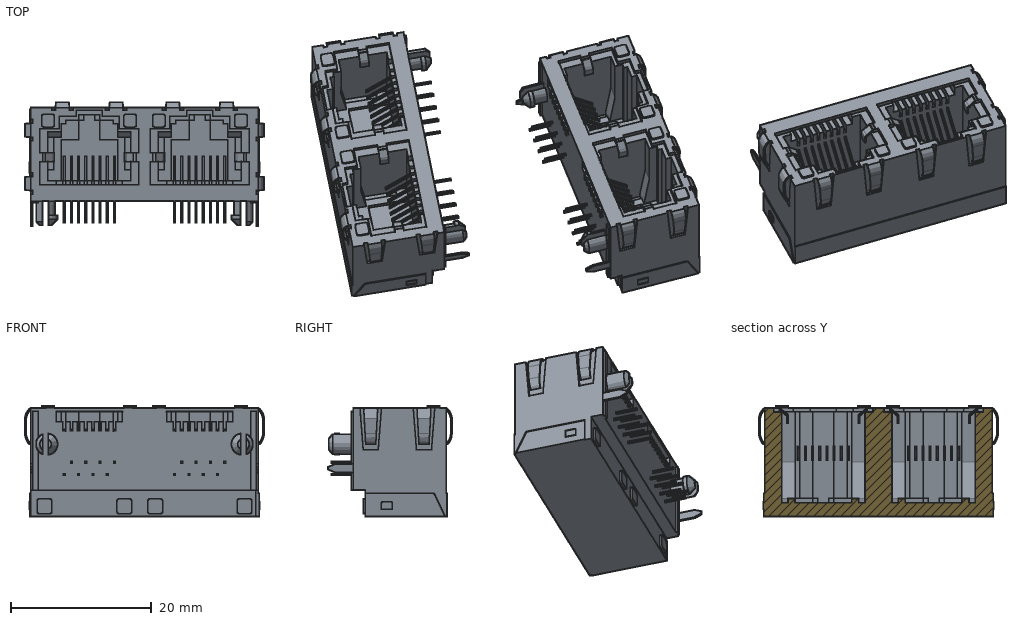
import cadquery as cq
import math


EMBED = 0.3

BODY_HALF_WIDTH = 16.2
BODY_TOP = 15.45
FRONT_Y = -13.25
FOOT_FRONT_Y = -11.5
FOOT_HEIGHT = 3.75
RIB_INNER_X = 15.1
RIB_OUTER_X = 15.88
RIB_PROJECTION = 0.27
RIB_TOP = 14.97

FLAP_THICKNESS = 0.13
FLAP_HEIGHT = 3.35
FLAP_FRONT_Y = -10.55
FLAP_REAR_BOTTOM_Y = -0.15
FLAP_REAR_TOP_Y = -1.75
FLAP_CORNER_RADIUS = 0.4
LATCH_Y = (-9.23, -7.69)
LATCH_Z = (1.02, 2.08)
LATCH_HEIGHT = 0.1
CORNER_PLATE_INNER_X = 15.86
CORNER_PLATE_STEP = 0.03

PORT_CENTERS = (-7.85, 7.85)
RIM_DEPTH = 0.57
CAVITY_FLOOR = 2.0
SIDE_FLOOR = 2.6
RIM_HALF = 7.04
RIM_FRONT_Y = -10.9
RIM_REAR_STEPS = ((7.04, -2.93), (4.27, -1.15), (1.87, -0.3))
CAVITY_HALF = 5.91
CAVITY_FRONT_Y = -10.37
CAVITY_REAR_STEPS = ((5.91, -3.42), (4.03, -2.28), (3.39, -1.76), (1.5, -0.95))
THROAT_HALF = 4.03
CHANNEL_HALF = 1.5
CHANNEL_FRONT_Y = -4.5
CHANNEL_LIP_HALF = 0.78
CHANNEL_LIP_Y = -1.76
SLOPE_FRONT_Y = -4.2
SLOPE_TOP = 7.8
WELL_INNER = 5.05
WELL_FRONT_Y = -8.8

CONTACT_COUNT = 8
CONTACT_PITCH = 1.02
WIRE = 0.25
WINDOW_HALF = 4.7
WINDOW_Z = (13.5, 14.97)
SLOT_WIDTH = 0.37
SLOT_BOTTOM = 12.2
CONTACT_ROOT = (-11.6, 12.1)
CONTACT_TIP = (-6.9, 8.0)
PIN_TIP_Y = -16.35
PIN_ROW_Z = (5.97, 7.74)

SPRING_Y = (-7.64, -6.36)
SPRING_ROOT_X = 6.65
SPRING_ROOT_DROP = 0.06
SPRING_CREST_X = 6.25
SPRING_BEND_START = (5.25, 14.65)
SPRING_BEND_MIDDLE = (5.04, 14.49)
SPRING_LEG_X = 4.97
SPRING_BEND_Z = 14.3
SPRING_END_Z = 13.3
SPRING_THICKNESS = 0.2

CLIP_REACH = 0.825
CLIP_THICKNESS = 0.2
CLIP_END_Z = 10.3
CLIP_STRAIGHT_Z = (11.9, 13.6)
CLIP_UPPER_ARC_OUTER = (0.6, 14.75)
CLIP_UPPER_ARC_INNER = (0.42, 14.65)
CLIP_LOWER_ARC_OUTER = (0.65, 11.0)
CLIP_LOWER_ARC_INNER = (0.47, 11.06)
CLIP_END_REACH = (0.04, 0.2)
CLIP_ROOT_REACH = -0.05
CLIP_HALF_TOP = 1.0
CLIP_HALF_END = 0.72
RELIEF_DEPTH = 0.33
RELIEF_HALF_TOP = 1.53
RELIEF_HALF_END = 1.07
RELIEF_END_Z = 9.5
SIDE_CLIP_Y = (-3.17, -10.75)
REAR_CLIP_X = (-11.68, -4.03, 4.03, 11.68)

LIGHT_CORNER_RADIUS = 0.3
TOP_LIGHT_SIZE = 1.8
TOP_LIGHT_X = (-13.72, -2.04, 2.04, 13.72)
TOP_LIGHT_Y = -1.81
TOP_LIGHT_HEIGHT = 0.3
FRONT_LIGHT_SIZE = 2.1
FRONT_LIGHT_X = (-14.24, -2.87, 1.52, 14.24)
FRONT_LIGHT_Z = 1.46
FRONT_LIGHT_HEIGHT = 0.33

OVERALL_DEPTH = 17.66
TIP_Y = CLIP_REACH - OVERALL_DEPTH
LOCK_X = 13.9
LOCK_Z = 10.3
LOCK_RADIUS = 1.54
LOCK_STEM_SHIFT = 0.34
LOCK_END_Y = -16.72
LOCK_SPLIT_X = 14.08
LOCK_SPLIT = 0.8
LOCK_OUTER_CHAMFER = 0.55
BARB_BACK_Y = -15.25
BARB_EDGE_Y = -15.85
BARB_TIP_RADIUS = 0.65
GROUND_PIN_X = (15.87, 16.15)
GROUND_PIN_Z = 6.88
GROUND_PIN_HALF = 0.63
GROUND_PIN_SHOULDER_Y = -15.8
GROUND_PIN_TIP_HALF = 0.18


def box(x, y, z):
    """Box between two limits along each axis."""
    size = [abs(b - a) for a, b in (x, y, z)]
    middle = [(a + b) / 2 for a, b in (x, y, z)]
    return cq.Workplane("XY").box(*size).translate(tuple(middle))


def mirrored(shape):
    """The shape together with its mirror image across X = 0."""
    return shape.add(shape.mirror("YZ")).combine()


def stepped_prism(front_y, rear_steps, bottom, top):
    """Prism symmetric in X whose rear edge climbs in steps toward the middle."""
    right = [(rear_steps[0][0], front_y)]
    for index, (half, y) in enumerate(rear_steps):
        right.append((half, y))
        if index + 1 < len(rear_steps):
            right.append((rear_steps[index + 1][0], y))
    left = [(-x, y) for x, y in reversed(right)]
    return cq.Workplane("XY", origin=(0, 0, bottom)).polyline(right + left).close().extrude(top - bottom)


def body():
    """Upper block, set-back foot and the two vertical ribs on the front."""
    width = (-BODY_HALF_WIDTH, BODY_HALF_WIDTH)
    block = box(width, (FRONT_Y, 0), (FOOT_HEIGHT, BODY_TOP))
    foot = box(width, (FOOT_FRONT_Y, 0), (0, FOOT_HEIGHT))
    rib = box((RIB_INNER_X, RIB_OUTER_X), (FRONT_Y - RIB_PROJECTION, FRONT_Y), (FOOT_HEIGHT, RIB_TOP))
    return block.union(foot).union(mirrored(rib))


def flaps():
    """Side flaps with their latch pads, the rear flap and the +X front corner plate."""
    inner_x = BODY_HALF_WIDTH - EMBED
    side = (
        cq.Workplane("YZ", origin=(inner_x, 0, 0))
        .polyline([
            (FLAP_REAR_BOTTOM_Y, 0),
            (FLAP_REAR_TOP_Y, FLAP_HEIGHT),
            (FLAP_FRONT_Y, FLAP_HEIGHT),
            (FLAP_FRONT_Y, 0),
        ])
        .close()
        .extrude(EMBED + FLAP_THICKNESS)
    )
    side = side.edges("|X").edges(">Z").edges(">Y").fillet(FLAP_CORNER_RADIUS)
    latch = box((inner_x, BODY_HALF_WIDTH + FLAP_THICKNESS + LATCH_HEIGHT), LATCH_Y, LATCH_Z)
    latch = latch.edges("|X and >Z").fillet(LIGHT_CORNER_RADIUS / 2)
    rear = box((-BODY_HALF_WIDTH, BODY_HALF_WIDTH), (-EMBED, FLAP_THICKNESS), (0, FLAP_HEIGHT))
    plate_y = (FOOT_FRONT_Y - CORNER_PLATE_STEP, FLAP_FRONT_Y)
    corner = box((CORNER_PLATE_INNER_X, BODY_HALF_WIDTH), plate_y, (0, FOOT_HEIGHT))
    corner_flap = box((inner_x, BODY_HALF_WIDTH + FLAP_THICKNESS), plate_y, (0, FLAP_HEIGHT))
    return mirrored(side.union(latch)).union(rear).union(corner).union(corner_flap)


def port_cavity():
    """Everything removed for one port, centred on X = 0."""
    rim_floor = BODY_TOP - RIM_DEPTH
    rim = stepped_prism(RIM_FRONT_Y, RIM_REAR_STEPS, rim_floor, BODY_TOP)
    tab = box((SPRING_ROOT_X, RIM_HALF), SPRING_Y, (rim_floor, BODY_TOP))
    rim = rim.cut(mirrored(tab))

    cavity = stepped_prism(CAVITY_FRONT_Y, CAVITY_REAR_STEPS, CAVITY_FLOOR, BODY_TOP)
    rear_y = CAVITY_REAR_STEPS[-1][1]
    shelf_z = (CAVITY_FLOOR, SIDE_FLOOR)
    shelf = box((CHANNEL_HALF, THROAT_HALF), (CHANNEL_FRONT_Y, rear_y), shelf_z)
    lip = box((CHANNEL_LIP_HALF, CHANNEL_HALF), (CHANNEL_LIP_Y, rear_y), shelf_z)
    side_step = box((THROAT_HALF, CAVITY_HALF), (CAVITY_FRONT_Y, CAVITY_REAR_STEPS[0][1]), shelf_z)
    well = box((WELL_INNER, CAVITY_HALF), (WELL_FRONT_Y, SLOPE_FRONT_Y), shelf_z)
    slope = (
        cq.Workplane("YZ", origin=(THROAT_HALF, 0, 0))
        .polyline([
            (CAVITY_REAR_STEPS[0][1], SLOPE_TOP),
            (SLOPE_FRONT_Y, SIDE_FLOOR),
            (SLOPE_FRONT_Y, CAVITY_FLOOR),
            (CAVITY_REAR_STEPS[0][1], CAVITY_FLOOR),
        ])
        .close()
        .extrude(CAVITY_HALF - THROAT_HALF)
    )
    left_standing = side_step.cut(well).union(slope).union(shelf).union(lip)
    cavity = cavity.cut(mirrored(left_standing))

    window = box((-WINDOW_HALF, WINDOW_HALF), (FRONT_Y, CAVITY_FRONT_Y), WINDOW_Z)
    removed = rim.union(cavity).union(window)
    for x in contact_positions():
        slot_x = (x - SLOT_WIDTH / 2, x + SLOT_WIDTH / 2)
        removed = removed.union(box(slot_x, (FRONT_Y, CAVITY_FRONT_Y), (SLOT_BOTTOM, WINDOW_Z[1])))
    return removed


def contact_positions():
    """X of the contacts of one port, from its middle."""
    return [(i - (CONTACT_COUNT - 1) / 2) * CONTACT_PITCH for i in range(CONTACT_COUNT)]


def contacts():
    """Sloping contact wires and staggered solder pins of one port."""
    run = CONTACT_TIP[0] - CONTACT_ROOT[0]
    drop = CONTACT_ROOT[1] - CONTACT_TIP[1]
    rise = WIRE * math.hypot(run, drop) / run
    wires = cq.Workplane("XY")
    for index, x in enumerate(contact_positions()):
        wire = (
            cq.Workplane("YZ", origin=(x - WIRE / 2, 0, 0))
            .polyline([
                CONTACT_ROOT,
                CONTACT_TIP,
                (CONTACT_TIP[0], CONTACT_TIP[1] + rise),
                (CONTACT_ROOT[0], CONTACT_ROOT[1] + rise),
            ])
            .close()
            .extrude(WIRE)
        )
        pin_z = PIN_ROW_Z[index % 2]
        pin_limits = (pin_z - WIRE / 2, pin_z + WIRE / 2)
        pin = box((x - WIRE / 2, x + WIRE / 2), (PIN_TIP_Y, FRONT_Y + EMBED), pin_limits)
        wires = wires.add(wire).add(pin)
    return wires.combine()


def port_springs():
    """Pair of shield springs folded over the rim tabs of one port."""
    leg_outer_x = SPRING_LEG_X + SPRING_THICKNESS
    root_z = BODY_TOP - RIM_DEPTH - EMBED
    spring = (
        cq.Workplane("XZ", origin=(0, SPRING_Y[1], 0))
        .moveTo(SPRING_ROOT_X, root_z)
        .lineTo(SPRING_ROOT_X, BODY_TOP - SPRING_ROOT_DROP)
        .lineTo(SPRING_CREST_X, BODY_TOP)
        .lineTo(*SPRING_BEND_START)
        .threePointArc(SPRING_BEND_MIDDLE, (SPRING_LEG_X, SPRING_BEND_Z))
        .lineTo(SPRING_LEG_X, SPRING_END_Z)
        .lineTo(leg_outer_x, SPRING_END_Z)
        .lineTo(leg_outer_x, SPRING_BEND_Z)
        .lineTo(SPRING_CREST_X, BODY_TOP - SPRING_THICKNESS)
        .lineTo(SPRING_CREST_X, root_z)
        .close()
        .extrude(SPRING_Y[1] - SPRING_Y[0])
    )
    return mirrored(spring)


def tapered_plate(half_top, half_end, end_z, inner, outer):
    """Trapezoid in the YZ plane, narrower at its lower end, spanning inner to outer in X."""
    return (
        cq.Workplane("YZ", origin=(inner, 0, 0))
        .polyline([(-half_top, BODY_TOP), (half_top, BODY_TOP), (half_end, end_z), (-half_end, end_z)])
        .close()
        .extrude(outer - inner)
    )


def clip():
    """Bowed clip on a wall at X = 0 that faces +X, centred on Y = 0."""
    inner_reach = CLIP_REACH - CLIP_THICKNESS
    straight_bottom, straight_top = CLIP_STRAIGHT_Z
    root_x = -RELIEF_DEPTH - EMBED
    profile = (
        cq.Workplane("XZ", origin=(0, CLIP_HALF_TOP, 0))
        .moveTo(root_x, BODY_TOP)
        .lineTo(0, BODY_TOP)
        .threePointArc(CLIP_UPPER_ARC_OUTER, (CLIP_REACH, straight_top))
        .lineTo(CLIP_REACH, straight_bottom)
        .threePointArc(CLIP_LOWER_ARC_OUTER, (CLIP_END_REACH[1], CLIP_END_Z))
        .lineTo(CLIP_END_REACH[0], CLIP_END_Z + CLIP_THICKNESS / 2)
        .threePointArc(CLIP_LOWER_ARC_INNER, (inner_reach, straight_bottom))
        .lineTo(inner_reach, straight_top)
        .threePointArc(CLIP_UPPER_ARC_INNER, (CLIP_ROOT_REACH, BODY_TOP - CLIP_THICKNESS))
        .lineTo(root_x, BODY_TOP - CLIP_THICKNESS)
        .close()
        .extrude(2 * CLIP_HALF_TOP)
    )
    return profile.intersect(
        tapered_plate(CLIP_HALF_TOP, CLIP_HALF_END, CLIP_END_Z, root_x, CLIP_REACH)
    )


def on_walls(shape):
    """Copies of a shape made for a +X wall at every clip place."""
    sideways = cq.Workplane("XY")
    for y in SIDE_CLIP_Y:
        sideways = sideways.add(shape.translate((BODY_HALF_WIDTH, y, 0)))
    copies = mirrored(sideways.combine())
    rearward = shape.rotate((0, 0, 0), (0, 0, 1), 90)
    for x in REAR_CLIP_X:
        copies = copies.add(rearward.translate((x, 0, 0)))
    return copies.combine()


def lights():
    """Rounded lights on the top and on the front of the foot."""
    pads = cq.Workplane("XY")
    for x in TOP_LIGHT_X:
        pad = cq.Workplane("XY").box(TOP_LIGHT_SIZE, TOP_LIGHT_SIZE, 2 * TOP_LIGHT_HEIGHT)
        pad = pad.edges("|Z").fillet(LIGHT_CORNER_RADIUS)
        pads = pads.add(pad.translate((x, TOP_LIGHT_Y, BODY_TOP)))
    for x in FRONT_LIGHT_X:
        pad = cq.Workplane("XY").box(FRONT_LIGHT_SIZE, 2 * FRONT_LIGHT_HEIGHT, FRONT_LIGHT_SIZE)
        pad = pad.edges("|Y").fillet(LIGHT_CORNER_RADIUS)
        pads = pads.add(pad.translate((x, FOOT_FRONT_Y, FRONT_LIGHT_Z)))
    return pads.combine()


def turned(profile):
    """Solid of revolution about the lock axis from (radius, Y) points."""
    start = (0, profile[0][1])
    end = (0, profile[-1][1])
    outline = cq.Workplane("XY").polyline([start] + profile + [end]).close()
    return outline.revolve(360, (0, 0), (0, 1)).translate((LOCK_X, 0, LOCK_Z))


def board_locks():
    """Split pegs: a plain outer half, and an inner half stepped back behind its barb."""
    root_y = FRONT_Y + EMBED
    plain = turned([
        (LOCK_RADIUS, root_y),
        (LOCK_RADIUS, LOCK_END_Y + LOCK_OUTER_CHAMFER),
        (LOCK_RADIUS - LOCK_OUTER_CHAMFER, LOCK_END_Y),
    ])
    stem = turned([(LOCK_RADIUS, root_y), (LOCK_RADIUS, BARB_BACK_Y)])
    barb = turned([
        (LOCK_RADIUS, BARB_BACK_Y),
        (LOCK_RADIUS, BARB_EDGE_Y),
        (BARB_TIP_RADIUS, LOCK_END_Y),
    ])
    height = (LOCK_Z - LOCK_RADIUS, LOCK_Z + LOCK_RADIUS)
    outer_x = (LOCK_SPLIT_X + LOCK_SPLIT / 2, LOCK_X + LOCK_RADIUS)
    inner_x = (LOCK_X - LOCK_RADIUS, LOCK_SPLIT_X - LOCK_SPLIT / 2)
    length = (LOCK_END_Y, root_y)
    plain = plain.intersect(box(outer_x, length, height))
    barbed = stem.translate((LOCK_STEM_SHIFT, 0, 0)).union(barb)
    barbed = barbed.intersect(box(inner_x, length, height))
    return mirrored(plain.add(barbed).combine())


def ground_pins():
    """Flat pointed pins at the two ends of the front."""
    pin = (
        cq.Workplane("YZ", origin=(GROUND_PIN_X[0], 0, GROUND_PIN_Z))
        .polyline([
            (FRONT_Y + EMBED, -GROUND_PIN_HALF),
            (GROUND_PIN_SHOULDER_Y, -GROUND_PIN_HALF),
            (TIP_Y, -GROUND_PIN_TIP_HALF),
            (TIP_Y, GROUND_PIN_TIP_HALF),
            (GROUND_PIN_SHOULDER_Y, GROUND_PIN_HALF),
            (FRONT_Y + EMBED, GROUND_PIN_HALF),
        ])
        .close()
        .extrude(GROUND_PIN_X[1] - GROUND_PIN_X[0])
    )
    return mirrored(pin)


relief = tapered_plate(RELIEF_HALF_TOP, RELIEF_HALF_END, RELIEF_END_Z, -RELIEF_DEPTH, 0)

part = body().union(flaps()).cut(on_walls(relief))
for center in PORT_CENTERS:
    part = part.cut(port_cavity().translate((center, 0, 0)))
    part = part.union(contacts().translate((center, 0, 0)))
    part = part.union(port_springs().translate((center, 0, 0)))
for feature in (on_walls(clip()), lights(), board_locks(), ground_pins()):
    part = part.union(feature)

result = part